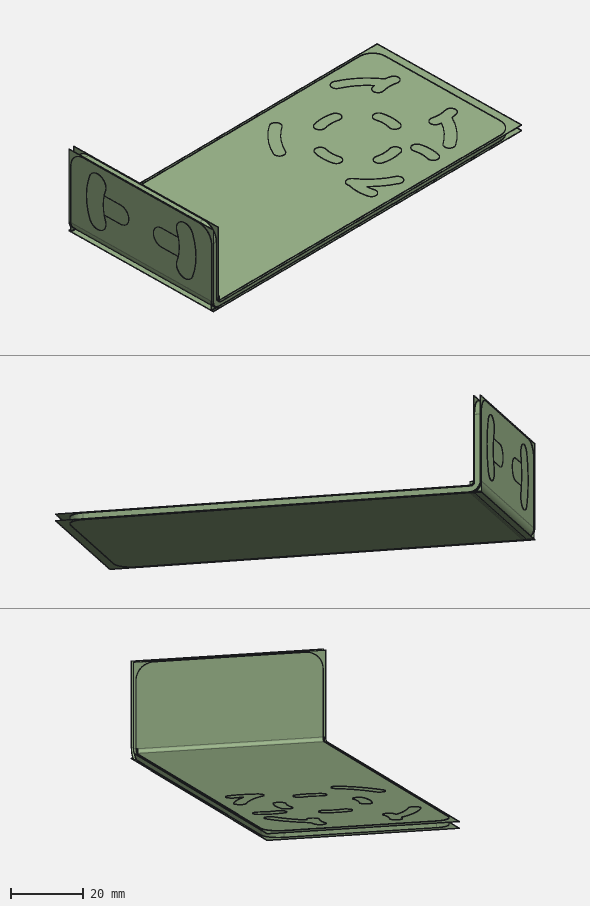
import cadquery as cq
import math

THICKNESS = 2.1
INNER_BEND_RADIUS = 1.1
OUTER_BEND_RADIUS = INNER_BEND_RADIUS + THICKNESS

FACING_WIDTH = 56.1
FACING_LENGTH = 122.5
FACING_HEIGHT = 27.7
FACING_THICKNESS = 0.1
FACING_INSET = 0.04

PLATE_WIDTH = 54.6
BASE_END_OVERHANG = 2.7
FLANGE_TOP_OVERHANG = 0.2
PLATE_LENGTH = FACING_LENGTH - BASE_END_OVERHANG
PLATE_HEIGHT = FACING_HEIGHT - FLANGE_TOP_OVERHANG
CORNER_RADIUS = 5.0

CHEEK_SIZE = 3.3
CHEEK_THICKNESS = 0.1

PATTERN_Y = 86.0
BASE_SLOT_WIDTH = 3.5
SMALL_RADIUS = 12.0
LARGE_RADIUS = 24.5
BASE_SLOT_HALF_ANGLE = 15
SLOT_DEPTH = 0.1
CENTRAL_SLOTS = [(SMALL_RADIUS, (0, 0), direction) for direction in (0, 90, 180, 270)]
LARGE_SLOTS = [
    (LARGE_RADIUS, (0, 2.0), 49),
    (LARGE_RADIUS, (0, 2.0), 229),
    (LARGE_RADIUS, (0, 4.0), 140),
    (LARGE_RADIUS, (0, 4.0), 319),
]
OFFSET_SLOTS = [
    (SMALL_RADIUS, (-1.0, 24.1), 180),
    (SMALL_RADIUS, (-2.0, 24.1), 0),
    (SMALL_RADIUS, (18.1, -3.3), 90),
    (SMALL_RADIUS, (18.1, -4.7), 270),
]

FLANGE_SLOT_Z = 15.3
FLANGE_SLOT_RADIUS = 18.0
FLANGE_SLOT_WIDTH = 6.5
FLANGE_SLOT_HALF_ANGLE = 20
STEM_WIDTH = FLANGE_SLOT_WIDTH
STEM_TIP_X = 4.8
STEM_DEPTH = 0.06


def bent_sheet(width, length, height, outer_depth, inner_depth):
    """L-shaped sheet between two depths below the outer surface of the bracket."""
    bend = OUTER_BEND_RADIUS
    diagonal = math.sqrt(0.5)
    outer_radius = bend - outer_depth
    inner_radius = bend - inner_depth
    return (
        cq.Workplane("YZ")
        .moveTo(length, outer_depth)
        .lineTo(bend, outer_depth)
        .threePointArc((bend - outer_radius * diagonal, bend - outer_radius * diagonal), (outer_depth, bend))
        .lineTo(outer_depth, height)
        .lineTo(inner_depth, height)
        .lineTo(inner_depth, bend)
        .threePointArc((bend - inner_radius * diagonal, bend - inner_radius * diagonal), (bend, inner_depth))
        .lineTo(length, inner_depth)
        .close()
        .extrude(width / 2, both=True)
    )


def polar_point(center, radius, angle):
    """Point at an angle in degrees on a circle."""
    turn = math.radians(angle)
    return (center[0] + radius * math.cos(turn), center[1] + radius * math.sin(turn))


def arc_slot(plane, radius, center, direction, half_angle, width, depth):
    """Round-ended slot along an arc, cut from the plane down to a depth."""
    start = direction - half_angle
    end = direction + half_angle
    inner = radius - width / 2
    outer = radius + width / 2
    start_cap = polar_point(polar_point(center, radius, start), width / 2, start - 90)
    end_cap = polar_point(polar_point(center, radius, end), width / 2, end + 90)
    return (
        plane.moveTo(*polar_point(center, outer, start))
        .threePointArc(polar_point(center, outer, direction), polar_point(center, outer, end))
        .threePointArc(end_cap, polar_point(center, inner, end))
        .threePointArc(polar_point(center, inner, direction), polar_point(center, inner, start))
        .threePointArc(start_cap, polar_point(center, outer, start))
        .close()
        .extrude(-depth)
    )


bracket = bent_sheet(PLATE_WIDTH, PLATE_LENGTH, PLATE_HEIGHT, 0, THICKNESS)
bracket = bracket.faces(">Y").edges("|Z").fillet(CORNER_RADIUS)
bracket = bracket.faces(">Z").edges("|Y").fillet(CORNER_RADIUS)

for outer_depth in (FACING_INSET, THICKNESS - FACING_INSET - FACING_THICKNESS):
    facing = bent_sheet(
        FACING_WIDTH, FACING_LENGTH, FACING_HEIGHT, outer_depth, outer_depth + FACING_THICKNESS
    )
    bracket = bracket.union(facing)

bottom_lip = cq.Workplane("XY").box(
    FACING_WIDTH, OUTER_BEND_RADIUS, FACING_THICKNESS, centered=(True, False, False)
).translate((0, 0, FACING_INSET))
bracket = bracket.union(bottom_lip)

for side in (-1, 1):
    cheek = (
        cq.Workplane("XY")
        .box(CHEEK_THICKNESS, CHEEK_SIZE, CHEEK_SIZE, centered=(True, False, False))
        .translate((side * (PLATE_WIDTH - CHEEK_THICKNESS) / 2, 0, 0))
    )
    bracket = bracket.union(cheek)

base_plane = cq.Workplane("XY", origin=(0, PATTERN_Y, THICKNESS))
for radius, center, direction in CENTRAL_SLOTS + LARGE_SLOTS + OFFSET_SLOTS:
    bracket = bracket.cut(
        arc_slot(base_plane, radius, center, direction, BASE_SLOT_HALF_ANGLE, BASE_SLOT_WIDTH, SLOT_DEPTH)
    )

flange_plane = cq.Workplane("XZ", origin=(0, 0, FLANGE_SLOT_Z))
stem_length = FLANGE_SLOT_RADIUS - STEM_TIP_X
for side, direction in ((-1, 180), (1, 0)):
    stem = (
        flange_plane.center(side * (STEM_TIP_X + stem_length / 2), 0)
        .slot2D(stem_length, STEM_WIDTH)
        .extrude(-STEM_DEPTH)
    )
    upright = arc_slot(
        flange_plane,
        FLANGE_SLOT_RADIUS,
        (0, 0),
        direction,
        FLANGE_SLOT_HALF_ANGLE,
        FLANGE_SLOT_WIDTH,
        SLOT_DEPTH,
    )
    bracket = bracket.cut(stem).cut(upright)

result = bracket